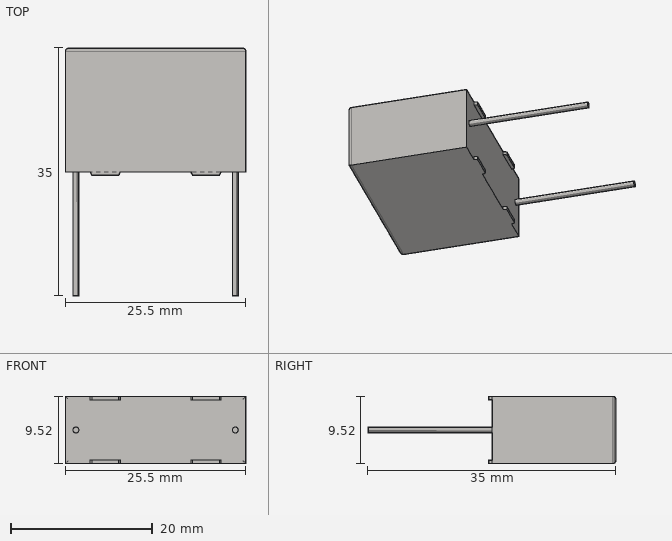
import cadquery as cq


case_width = 25.5
case_depth = 17.5
case_height = 9.52
back_edge_radius = 0.5

foot_base_width = 4.27
foot_taper = 0.25
foot_length = 0.5
foot_thickness = 0.5
foot_spacing = 14.2

overall_depth = 35.0
lead_diameter = 0.85
lead_spacing = 22.5
lead_length = overall_depth - case_depth


def make_foot(center_x, bottom_z):
    """One foot, reaching slightly tapered from the seating face toward -Y."""
    half_base = foot_base_width / 2
    half_tip = half_base - foot_taper
    return (
        cq.Workplane("XY", origin=(center_x, 0, bottom_z))
        .moveTo(-half_base, 0)
        .lineTo(-half_tip, -foot_length)
        .lineTo(half_tip, -foot_length)
        .lineTo(half_base, 0)
        .close()
        .extrude(foot_thickness)
    )


def make_case():
    """Rectangular case with a rounded back and a foot pair along each long edge."""
    body = cq.Workplane("XY").box(case_width, case_depth, case_height, centered=(True, False, True))
    body = body.faces(">Y").edges().fillet(back_edge_radius)
    lower_foot_z = -case_height / 2
    upper_foot_z = case_height / 2 - foot_thickness
    for side in (-1, 1):
        for bottom_z in (lower_foot_z, upper_foot_z):
            body = body.union(make_foot(side * foot_spacing / 2, bottom_z))
    return body


def make_lead(center_x):
    """One straight round wire, starting on the seating face and pointing to -Y."""
    return cq.Workplane("XZ", origin=(center_x, 0, 0)).circle(lead_diameter / 2).extrude(lead_length)


case = make_case()
leads = [make_lead(side * lead_spacing / 2) for side in (-1, 1)]

result = cq.Compound.makeCompound([case.val(), *[lead.val() for lead in leads]])